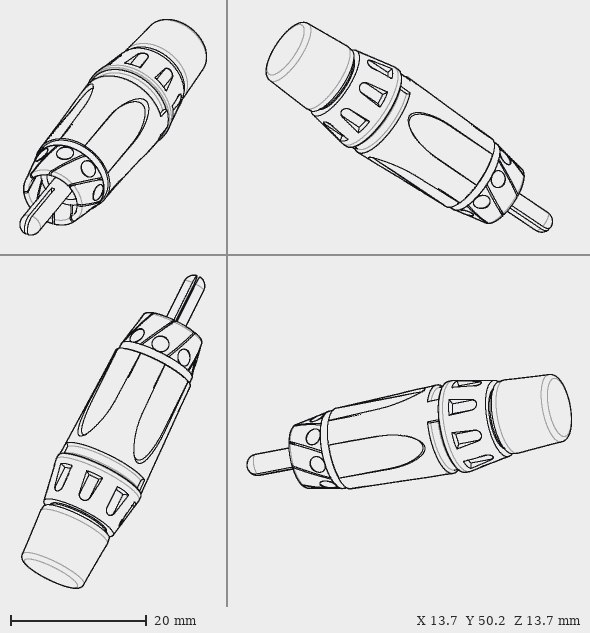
import cadquery as cq
import math


total_length = 50.2
clearance = 0.5

pin_diameter = 3.2
pin_slot_width = 0.5
pin_slot_length = 9.05

rim_y = 8.6
cone_back_y = 14.2
sleeve_front_y = 15.5
sleeve_back_y = 33.65
nut_back_y = 40.8

rim_round_y = 8.95
rim_radius = 4.8
cone_back_radius = 5.75
collar_radius = 5.8
shell_bore_radius = 4.0

insulator_face_y = 13.05
core_radius = 3.0

shell_feature_count = 8
slit_width = 0.25
slit_rim_offset = -0.3
slit_back_offset = 2.6
dimple_diameter = 2.5
dimple_edge_depth = 0.15
dimple_cone_depth = 0.25
dimple_y = cone_back_y - dimple_diameter / 2

sleeve_front_radius = 6.1
sleeve_back_radius = 6.75
band_front_y = 31.8
band_radius = 6.2
band_round = 0.35
rib_width = 3.3
pad_count = 4
pad_first_angle = 45.0
pad_nose_y = 30.05
pad_nose_slope = 0.9
pad_straight_y = 23.85
pad_half_width = 2.65
pad_floor_radius = 6.05

nut_back_radius = 5.7
nut_diameter = 13.7
nut_max_radius = nut_diameter / 2
nut_land_y = 34.4
nut_round = 0.15
window_count = 8
window_width = 1.6
window_front_y = 35.6
window_back_y = 39.45
window_floor_radius = 5.9
window_side_slope = 0.8
window_front_slope = 0.4

neck_diameter = 9.2
boot_cone_y = 41.0
boot_shoulder_y = 41.6
boot_max_y = 42.4
boot_shoulder_radius = 5.4
boot_max_radius = 5.5
boot_back_radius = 5.05
boot_round = 0.7


def revolve(profile):
    """Spin a closed (radius, y) profile drawn in the XY plane about the Y axis."""
    return profile.close().revolve(360, (0, 0), (0, 1))


def copies_around_axis(solid, count, start_angle=0.0):
    """Copies of a solid, evenly spaced about the Y axis."""
    pitch = 360.0 / count
    return [solid.rotate((0, 0, 0), (0, 1, 0), start_angle + i * pitch) for i in range(count)]


def cut_all(body, cutters):
    for cutter in cutters:
        body = body.cut(cutter)
    return body


def make_pin():
    radius = pin_diameter / 2
    nose_y = math.sqrt(radius ** 2 - (pin_slot_width / 2) ** 2) - radius
    rod = revolve(
        cq.Workplane("XY").moveTo(0, nose_y)
        .radiusArc((radius, nose_y + radius), -radius)
        .lineTo(radius, sleeve_front_y)
        .lineTo(0, sleeve_front_y)
    )
    slot = cq.Workplane("XY").box(pin_slot_width, 2 * pin_slot_length, 2 * pin_diameter)
    return rod.cut(slot)


def make_ring(outer_radius, inner_radius):
    length = sleeve_front_y - insulator_face_y
    plane = cq.Workplane("XZ", origin=(0, insulator_face_y, 0))
    return plane.circle(outer_radius).circle(inner_radius).extrude(-length)


def make_slit():
    run = cone_back_y - rim_y
    slope = (slit_back_offset - slit_rim_offset) / run
    half_width = slit_width / 2 * math.hypot(1, slope)
    start = slit_rim_offset - slope * clearance
    return (
        cq.Workplane("XY")
        .polyline([
            (start - half_width, rim_y - clearance),
            (start + half_width, rim_y - clearance),
            (slit_back_offset + half_width, cone_back_y),
            (slit_back_offset - half_width, cone_back_y),
        ])
        .close()
        .extrude(collar_radius + clearance)
    )


def make_dimple():
    """Straight-sided hole with a shallow conical floor, square to the conical wall."""
    slope = (cone_back_radius - rim_radius) / (cone_back_y - rim_round_y)
    wall_radius = cone_back_radius - slope * (cone_back_y - dimple_y)
    tilt = math.hypot(1, slope)
    outward = cq.Vector(0, -slope / tilt, 1 / tilt)
    edge = cq.Vector(0, dimple_y, wall_radius) - outward * dimple_edge_depth
    apex = edge - outward * dimple_cone_depth
    radius = dimple_diameter / 2
    hole = cq.Solid.makeCylinder(radius, dimple_edge_depth + clearance, edge, outward)
    floor = cq.Solid.makeCone(0, radius, dimple_cone_depth, apex, outward)
    return cq.Workplane(obj=hole.fuse(floor))


def make_shell():
    shell = revolve(
        cq.Workplane("XY").moveTo(shell_bore_radius, rim_round_y)
        .threePointArc(((shell_bore_radius + rim_radius) / 2, rim_y), (rim_radius, rim_round_y))
        .lineTo(cone_back_radius, cone_back_y)
        .lineTo(collar_radius, cone_back_y)
        .lineTo(collar_radius, sleeve_front_y)
        .lineTo(shell_bore_radius, sleeve_front_y)
    )
    shell = cut_all(shell, copies_around_axis(make_dimple(), shell_feature_count))
    return cut_all(shell, copies_around_axis(make_slit(), shell_feature_count))


def pad_outline(height):
    """Round-nosed outline at a height above the axis; the nose moves back with height."""
    front_y = sleeve_front_y - clearance
    nose_y = pad_nose_y + pad_nose_slope * (height - pad_floor_radius)
    return (
        cq.Workplane("XY", origin=(0, 0, height))
        .moveTo(-pad_half_width, front_y)
        .lineTo(pad_half_width, front_y)
        .lineTo(pad_half_width, pad_straight_y)
        .ellipseArc(pad_half_width, nose_y - pad_straight_y, 0, 180, startAtCurrent=True)
        .close()
        .val()
    )


def make_pad():
    """Pocket with a sloping nose and a cylindrical floor, open at the front of the sleeve."""
    low = pad_floor_radius - pad_half_width / 2
    high = sleeve_back_radius + clearance
    pocket = cq.Workplane(obj=cq.Solid.makeLoft([pad_outline(low), pad_outline(high)], True))
    floor = cq.Workplane("XZ").circle(pad_floor_radius).extrude(-total_length)
    return pocket.cut(floor)


def make_band():
    """Recess with rounded corners between two ribs on the +X and -X sides, next to the nut."""
    ring = revolve(
        cq.Workplane("XY").moveTo(sleeve_back_radius + clearance, band_front_y)
        .lineTo(band_radius + band_round, band_front_y)
        .radiusArc((band_radius, band_front_y + band_round), band_round)
        .lineTo(band_radius, sleeve_back_y - band_round)
        .radiusArc((band_radius + band_round, sleeve_back_y), band_round)
        .lineTo(sleeve_back_radius + clearance, sleeve_back_y)
    )
    ribs = cq.Workplane("XY").box(4 * sleeve_back_radius, 2 * total_length, rib_width)
    return ring.cut(ribs)


def make_sleeve():
    sleeve = revolve(
        cq.Workplane("XY").moveTo(0, sleeve_front_y)
        .lineTo(sleeve_front_radius, sleeve_front_y)
        .lineTo(sleeve_back_radius, sleeve_back_y)
        .lineTo(0, sleeve_back_y)
    )
    sleeve = sleeve.cut(make_band())
    return cut_all(sleeve, copies_around_axis(make_pad(), pad_count, pad_first_angle))


def window_outline(height):
    """Outline with a round back end, at a height above the window floor."""
    half_width = window_width / 2 + window_side_slope * height
    front_y = window_front_y - window_front_slope * height
    arc_y = window_back_y - window_width / 2
    back_y = arc_y + half_width
    return (
        cq.Workplane("XY", origin=(0, 0, window_floor_radius + height))
        .moveTo(-half_width, front_y)
        .lineTo(half_width, front_y)
        .lineTo(half_width, arc_y)
        .threePointArc((0, back_y), (-half_width, arc_y))
        .close()
        .val()
    )


def make_window():
    height = nut_max_radius - window_floor_radius + clearance
    return cq.Workplane(obj=cq.Solid.makeLoft([window_outline(0), window_outline(height)], True))


def make_nut():
    nut = revolve(
        cq.Workplane("XY").moveTo(0, sleeve_back_y)
        .lineTo(nut_max_radius - nut_round, sleeve_back_y)
        .radiusArc((nut_max_radius, sleeve_back_y + nut_round), -nut_round)
        .lineTo(nut_max_radius, nut_land_y)
        .lineTo(nut_back_radius, nut_back_y)
        .lineTo(0, nut_back_y)
    )
    return cut_all(nut, copies_around_axis(make_window(), window_count))


def make_boot():
    neck_radius = neck_diameter / 2
    return revolve(
        cq.Workplane("XY").moveTo(0, nut_back_y)
        .lineTo(neck_radius, nut_back_y)
        .lineTo(neck_radius, boot_cone_y)
        .lineTo(boot_shoulder_radius, boot_shoulder_y)
        .lineTo(boot_max_radius, boot_max_y)
        .lineTo(boot_back_radius, total_length - boot_round)
        .radiusArc((boot_back_radius - boot_round, total_length), -boot_round)
        .lineTo(0, total_length)
    )


pin = make_pin()
core_insulator = make_ring(core_radius, pin_diameter / 2)
outer_insulator = make_ring(shell_bore_radius, core_radius)
shell = make_shell()
sleeve = make_sleeve()
nut = make_nut()
boot = make_boot()

result = cq.Compound.makeCompound([
    pin.val(),
    core_insulator.val(),
    outer_insulator.val(),
    shell.val(),
    sleeve.val(),
    nut.val(),
    boot.val(),
])